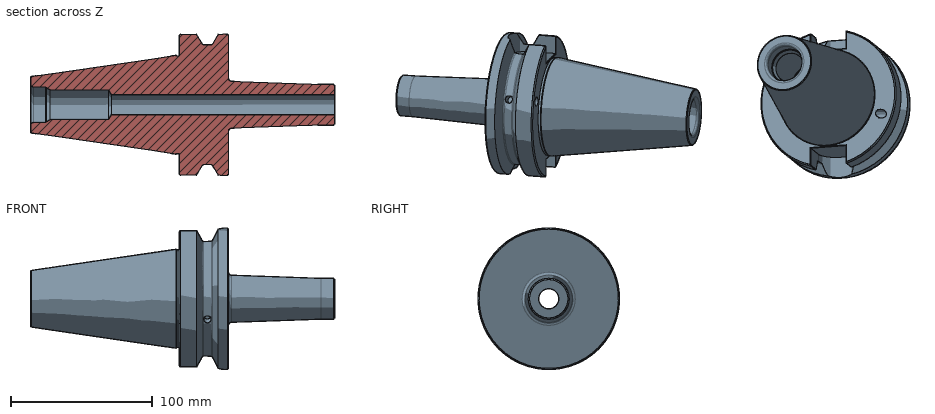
import math

import cadquery as cq


gauge_radius = 34.925
taper_slope = 7 / 48
taper_length = 101.8
small_end_radius = gauge_radius - taper_length * taper_slope
small_end_chamfer = 0.6
taper_end = 0.7
taper_end_radius = gauge_radius + taper_end * taper_slope
neck_start = 1.4
neck_radius = 34.6

flange_start = 3.0
flange_end = 38.0
flange_radius = 50.0
flange_chamfer = 0.9
groove_center = 23.0
groove_radius = 42.5
groove_floor_half_width = 3.3
groove_flank_angle = 30.0
groove_fillet = 1.0

nose_length = 75.0
nose_tip_radius = 14.5
nose_root_radius = 16.8
nose_root_fillet = 2.0
nose_cylinder_length = 10.0
nose_chamfer = 1.0

through_radius = 7.0
mouth_fillet = 2.0
counterbore_radius = 12.5
counterbore_depth = 10.4
lip_radius = 12.0
lip_length = 0.7
thread_radius = 10.4
thread_lead_angle = 30.0
thread_depth = 55.0
drill_point_angle = 118.0

slot_half_width = 12.85
slot_floor = 35.4
slot_end = 34.0
slot_edge_chamfer = 0.5

coolant_angle = 20.0
face_hole_diameter = 6.2
face_hole_radius = 41.5
face_hole_tilt = 41.0
groove_hole_diameter = 5.2
groove_hole_depth = 8.0

tail = -taper_length
nose_tip = flange_end + nose_length
selection_margin = 0.1


def circles_between(body, x_start, x_end, radius):
    """Circular edges around the axis from x_start to x_end that are no larger than the radius."""
    reach = radius + selection_margin
    region = cq.selectors.BoxSelector(
        (x_start - selection_margin, -reach, -reach),
        (x_end + selection_margin, reach, reach),
        boundingbox=True,
    )
    return body.edges(region).edges("%CIRCLE")


def turned_body():
    groove_top_half_width = groove_floor_half_width + (flange_radius - groove_radius) * math.tan(
        math.radians(groove_flank_angle)
    )
    body = (
        cq.Workplane("XZ")
        .moveTo(tail, 0)
        .lineTo(tail, small_end_radius - small_end_chamfer)
        .lineTo(tail + small_end_chamfer, small_end_radius)
        .lineTo(taper_end, taper_end_radius)
        .lineTo(neck_start, neck_radius)
        .lineTo(flange_start, neck_radius)
        .lineTo(flange_start, flange_radius - flange_chamfer)
        .lineTo(flange_start + flange_chamfer, flange_radius)
        .lineTo(groove_center - groove_top_half_width, flange_radius)
        .lineTo(groove_center - groove_floor_half_width, groove_radius)
        .lineTo(groove_center + groove_floor_half_width, groove_radius)
        .lineTo(groove_center + groove_top_half_width, flange_radius)
        .lineTo(flange_end - flange_chamfer, flange_radius)
        .lineTo(flange_end, flange_radius - flange_chamfer)
        .lineTo(flange_end, nose_root_radius)
        .lineTo(nose_tip - nose_cylinder_length, nose_tip_radius)
        .lineTo(nose_tip - nose_chamfer, nose_tip_radius)
        .lineTo(nose_tip, nose_tip_radius - nose_chamfer)
        .lineTo(nose_tip, 0)
        .close()
        .revolve(360, (0, 0, 0), (1, 0, 0))
    )
    body = circles_between(
        body, groove_center - groove_floor_half_width, groove_center + groove_floor_half_width, flange_radius
    ).fillet(groove_fillet)
    return circles_between(body, flange_end, flange_end, nose_root_radius).fillet(nose_root_fillet)


def bore():
    counterbore_end = tail + counterbore_depth
    lip_end = counterbore_end + lip_length
    lead_length = (lip_radius - thread_radius) / math.tan(math.radians(thread_lead_angle))
    thread_end = tail + thread_depth
    point_length = (thread_radius - through_radius) / math.tan(math.radians(drill_point_angle / 2))
    return (
        cq.Workplane("XZ")
        .moveTo(tail, 0)
        .lineTo(tail, counterbore_radius + mouth_fillet)
        .radiusArc((tail + mouth_fillet, counterbore_radius), -mouth_fillet)
        .lineTo(counterbore_end, counterbore_radius)
        .lineTo(counterbore_end, lip_radius)
        .lineTo(lip_end, lip_radius)
        .lineTo(lip_end + lead_length, thread_radius)
        .lineTo(thread_end, thread_radius)
        .lineTo(thread_end + point_length, through_radius)
        .lineTo(nose_tip, through_radius)
        .lineTo(nose_tip, 0)
        .close()
        .revolve(360, (0, 0, 0), (1, 0, 0))
    )


def drive_slot():
    slot_width = 2 * slot_half_width
    slot_height = flange_radius - slot_floor
    arc_center = slot_end - slot_half_width
    slot = (
        cq.Workplane("XY", origin=(0, 0, slot_floor))
        .moveTo(flange_start, -slot_half_width)
        .lineTo(arc_center, -slot_half_width)
        .threePointArc((slot_end, 0), (arc_center, slot_half_width))
        .lineTo(flange_start, slot_half_width)
        .close()
        .extrude(slot_height)
    )
    mouth = (
        cq.Workplane("YZ", origin=(flange_start, 0, slot_floor + slot_height / 2))
        .rect(slot_width + 2 * slot_edge_chamfer, slot_height + 2 * slot_edge_chamfer)
        .workplane(offset=slot_edge_chamfer)
        .rect(slot_width, slot_height)
        .loft()
    )
    rim_bottom = math.sqrt(flange_radius**2 - slot_half_width**2) - slot_edge_chamfer
    rim_rise = flange_radius - rim_bottom
    rim_chamfers = (
        cq.Workplane("YZ", origin=(flange_start, 0, 0))
        .moveTo(-slot_half_width, rim_bottom)
        .lineTo(slot_half_width, rim_bottom)
        .lineTo(slot_half_width + rim_rise, rim_bottom + rim_rise)
        .lineTo(-slot_half_width - rim_rise, rim_bottom + rim_rise)
        .close()
        .extrude(groove_center - flange_start)
    )
    return slot.union(mouth).union(rim_chamfers)


def coolant_holes():
    tilt = math.radians(face_hole_tilt)
    into_body = cq.Vector(math.cos(tilt), -math.sin(tilt), 0)
    run = (groove_center - flange_start) / into_body.x
    lead = face_hole_diameter
    mouth = cq.Vector(flange_start, face_hole_radius, 0)
    face_hole = cq.Solid.makeCylinder(
        face_hole_diameter / 2, run + lead, mouth - into_body * lead, into_body
    )
    groove_hole = cq.Solid.makeCylinder(
        groove_hole_diameter / 2,
        flange_radius - groove_radius + groove_hole_depth,
        cq.Vector(groove_center, flange_radius, 0),
        cq.Vector(0, -1, 0),
    )
    pair = cq.Workplane(face_hole).union(cq.Workplane(groove_hole))
    return pair.rotate((0, 0, 0), (1, 0, 0), coolant_angle)


def opposite(shape):
    return shape.rotate((0, 0, 0), (1, 0, 0), 180)


result = turned_body().cut(bore())
for cutter in (drive_slot(), coolant_holes()):
    result = result.cut(cutter).cut(opposite(cutter))